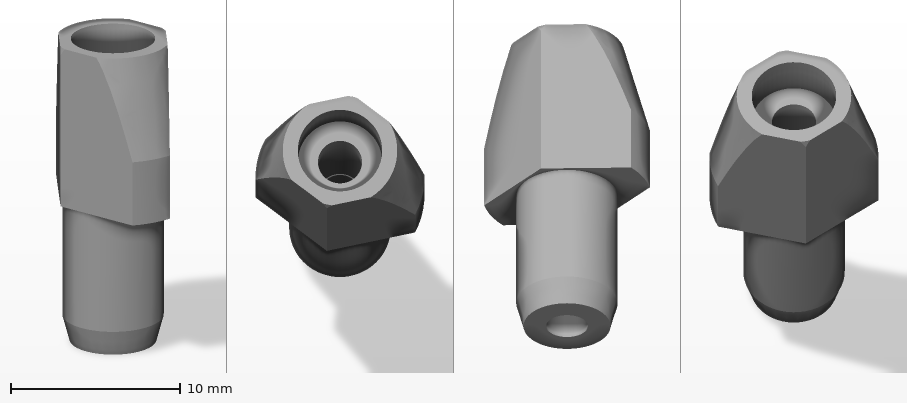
import cadquery as cq
import math

total_height = 19.0
head_height = 10.0
head_diameter = 10.0
shank_height = total_height - head_height
shank_diameter = 6.0

taper_slope = math.tan(math.radians(15))
head_taper_height = 6.0
tip_taper_height = 1.6

ridge_to_ridge = 7.01
flat_slope = math.tan(math.radians(25))

socket_diameter = 5.0
socket_depth = 2.58
head_bore_diameter = 2.6
shank_bore_diameter = 2.47


def turned_body():
    """Revolve the shank and head, with both tapers, about Z."""
    head_radius = head_diameter / 2
    shank_radius = shank_diameter / 2
    tip_radius = shank_radius - tip_taper_height * taper_slope
    top_radius = head_radius - head_taper_height * taper_slope
    return (
        cq.Workplane("XZ")
        .moveTo(0, 0)
        .lineTo(tip_radius, 0)
        .lineTo(shank_radius, tip_taper_height)
        .lineTo(shank_radius, shank_height)
        .lineTo(head_radius, shank_height)
        .lineTo(head_radius, total_height - head_taper_height)
        .lineTo(top_radius, total_height)
        .lineTo(0, total_height)
        .close()
        .revolve(360, (0, 0, 0), (0, 1, 0))
    )


def flats_envelope():
    """Full-height rhombic prism whose sides form the flats of the head."""
    ridge_y = ridge_to_ridge / 2
    point_x = ridge_y / flat_slope
    return (
        cq.Workplane("XY")
        .polyline([(point_x, 0), (0, ridge_y), (-point_x, 0), (0, -ridge_y)])
        .close()
        .extrude(total_height)
    )


result = turned_body().intersect(flats_envelope())

bore_steps = [
    (shank_bore_diameter, total_height),
    (head_bore_diameter, head_height),
    (socket_diameter, socket_depth),
]
for diameter, depth in bore_steps:
    step = cq.Workplane("XY").workplane(offset=total_height - depth).circle(diameter / 2).extrude(depth)
    result = result.cut(step)